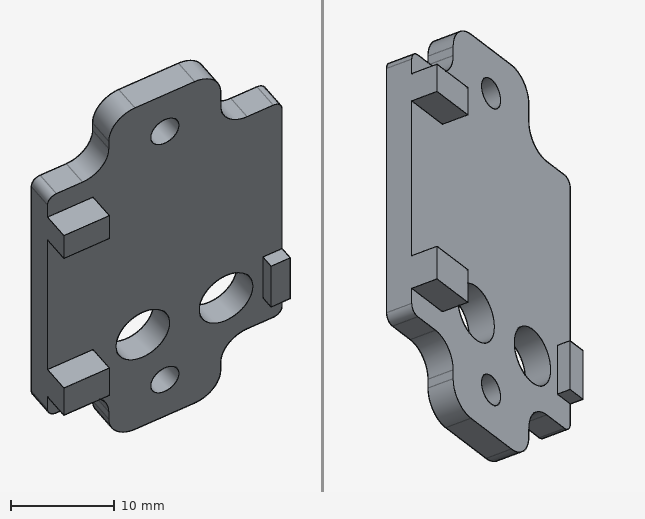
import cadquery as cq

THICKNESS = 3.0
WIDTH = 26.8
HEIGHT = 44.0
TAB_WIDTH = 12.8
SHOULDER_DROP = 7.0
LOW_SHOULDER_DROP = 7.95
TAB_RADIUS = 3.0
CORNER_RADIUS = 1.0

SCREW_DIAMETER = 3.2
SCREW_EDGE_DISTANCE = 5.0
PORT_DIAMETER = 6.1
PORT_HEIGHT = 12.5
PORT_CENTERS_Y = (7.0, -2.5)

POST_LENGTH = 3.0
POST_WIDTH = 5.2
LOWER_POST_SPAN = (9.72, 13.45)
UPPER_POST_SPAN = (31.2, 34.3)
CATCH_LENGTH = 1.5
CATCH_WIDTH = 2.2
CATCH_SPAN = (10.3, 15.9)

half_width = WIDTH / 2
half_height = HEIGHT / 2
half_tab = TAB_WIDTH / 2
shoulder_z = half_height - SHOULDER_DROP
low_shoulder_z = half_height - LOW_SHOULDER_DROP


def make_plate():
    """Plate with a rounded tab at each end and four shoulders."""
    outline = [
        (-half_tab, -half_height),
        (half_tab, -half_height),
        (half_tab, -shoulder_z),
        (half_width, -shoulder_z),
        (half_width, low_shoulder_z),
        (half_tab, low_shoulder_z),
        (half_tab, half_height),
        (-half_tab, half_height),
        (-half_tab, shoulder_z),
        (-half_width, shoulder_z),
        (-half_width, -shoulder_z),
        (-half_tab, -shoulder_z),
    ]
    plate = cq.Workplane("YZ").polyline(outline).close().extrude(THICKNESS)
    outer_edges = plate.edges("|X and (<Y or >Y)")
    plate = outer_edges.fillet(CORNER_RADIUS)
    tab_zone = cq.selectors.BoxSelector(
        (0, -half_tab - TAB_RADIUS, -HEIGHT),
        (THICKNESS, half_tab + TAB_RADIUS, HEIGHT),
    )
    return plate.edges("|X").edges(tab_zone).fillet(TAB_RADIUS)


def hole(diameter, y, z):
    """Cutter for a round hole through the plate."""
    return cq.Workplane("YZ").center(y, z).circle(diameter / 2).extrude(THICKNESS)


def edge_block(length, width, height_span, side):
    """Block on the +X face, flush with the side edge at +Y (1) or -Y (-1)."""
    bottom, top = height_span
    center_y = side * (half_width - width / 2)
    center_z = (bottom + top) / 2 - half_height
    return (
        cq.Workplane("YZ")
        .center(center_y, center_z)
        .rect(width, top - bottom)
        .extrude(THICKNESS + length)
    )


result = make_plate()

for span in (LOWER_POST_SPAN, UPPER_POST_SPAN):
    result = result.union(edge_block(POST_LENGTH, POST_WIDTH, span, -1))
result = result.union(edge_block(CATCH_LENGTH, CATCH_WIDTH, CATCH_SPAN, 1))

screw_z = half_height - SCREW_EDGE_DISTANCE
for z in (-screw_z, screw_z):
    result = result.cut(hole(SCREW_DIAMETER, 0, z))
for y in PORT_CENTERS_Y:
    result = result.cut(hole(PORT_DIAMETER, y, PORT_HEIGHT - half_height))